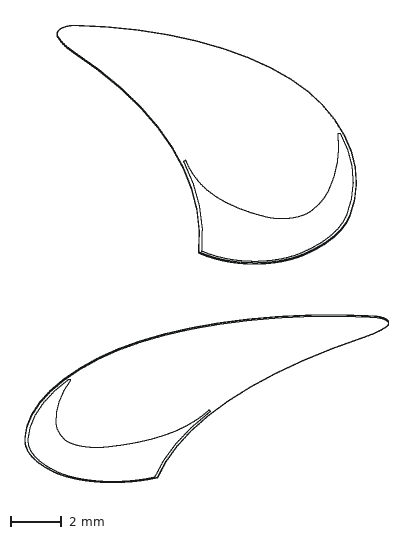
import cadquery as cq
import math


thickness = 0.06
rim_width = 0.13
inlay_tip_radius = 0.05

corner = (4.88, -7.7)
corner_heading = math.radians(-16.0)
blade_arc_ends = [
    (6.4, -7.76),
    (8.6, -5.87),
    (8.62, -2.11),
    (3.18, 5.51),
    (-8.55, 6.67),
    (-8.75, 5.55),
    (-7.59, 4.7),
    corner,
]

tongue_start = (4.58, 4.15)
tongue_heading = math.radians(-55.8)
tongue_arc_ends = [
    (6.9, -0.75),
    (7.12, -2.55),
    (5.8, -3.85),
    (2.15, -2.61),
    (0.72, -1.18),
]
clear_of_blade = [(-0.9, -10.73), (12.52, -10.73), (12.52, 7.15)]


def direction(angle):
    return cq.Vector(math.cos(angle), math.sin(angle))


def tangent_arcs(start, heading, arc_ends):
    """Edges of a chain of arcs in which each arc leaves along the end of the one before."""
    edges = []
    point = cq.Vector(*start)
    tangent = direction(heading)
    for arc_end in arc_ends:
        end = cq.Vector(*arc_end)
        edge = cq.Edge.makeTangentArc(point, tangent, end)
        edges.append(edge)
        point = end
        tangent = edge.tangentAt(1)
    return edges


def plate(outline):
    return cq.Workplane(cq.Solid.extrudeLinear(outline, [], cq.Vector(0, 0, thickness)))


def make_inlay(blade_outline):
    inset_outline = blade_outline.offset2D(-rim_width, "intersection")[0]
    tongue = tangent_arcs(tongue_start, tongue_heading, tongue_arc_ends)
    closing_points = [tongue_arc_ends[-1], *clear_of_blade, tongue_start]
    closing = cq.Wire.makePolygon([cq.Vector(*point) for point in closing_points])
    inlay_side = cq.Wire.assembleEdges([*tongue, *closing.Edges()])
    sharp_inlay = plate(inset_outline).intersect(plate(inlay_side))
    lower_tip_rounded = sharp_inlay.edges("|Z").edges("<X").fillet(inlay_tip_radius)
    return lower_tip_rounded.edges("|Z").edges(">Y").fillet(inlay_tip_radius)


def make_blade(blade_outline, inlay):
    return plate(blade_outline).cut(inlay)


outline = cq.Wire.assembleEdges(tangent_arcs(corner, corner_heading, blade_arc_ends))
inlay = make_inlay(outline)
blade = make_blade(outline, inlay)

result = cq.Compound.makeCompound([*blade.solids().vals(), *inlay.solids().vals()])